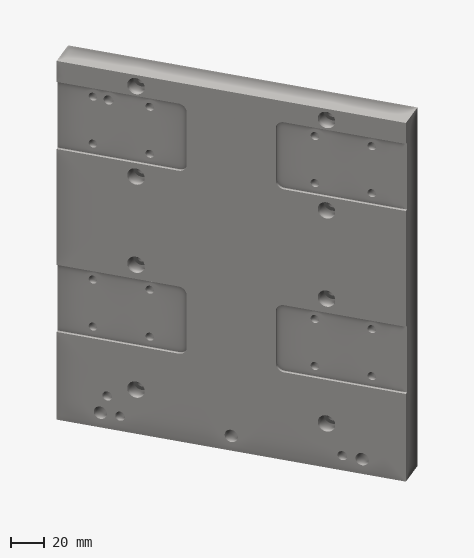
import cadquery as cq

width = 220.0
thickness = 20.0
height = 244.0

pocket_depth = 2.0
pocket_height = 45.6
pocket_inner_x = 28.0
pocket_corner_radius = 5.1
pocket_center_heights = [82.5, 207.0]

pocket_hole_diameter = 5.4
pocket_hole_inner_x = 52.0
pocket_hole_outer_x = 87.8
pocket_hole_spacing_z = 32.0

mount_hole_diameter = 6.3
counterbore_diameter = 11.0
counterbore_depth = thickness / 2
mount_x = 60.0
mount_heights = [30.0, 115.0, 175.0, 236.5]

bottom_row_z = 10.0
large_hole_diameter = 8.3
large_hole_x = 82.5
small_hole_diameter = 6.0
small_hole_x = 70.0

left_pair_x = -78.0
left_pair_heights = [22.2, 222.5]


def bore(points, diameter, depth):
    """Cylinders that run from the front face into the plate at each (x, z) point."""
    front = cq.Workplane("XZ")
    return front.pushPoints(points).circle(diameter / 2).extrude(-depth)


def pocket(side, center_z):
    """Pocket volume on the right (side = 1) or left (side = -1) edge, with rounded inner corners."""
    length = width / 2 - pocket_inner_x
    center_x = side * (pocket_inner_x + length / 2)
    inner_edges = "|Y and <X" if side > 0 else "|Y and >X"
    block = cq.Workplane("XZ").center(center_x, center_z).rect(length, pocket_height).extrude(-pocket_depth)
    return block.edges(inner_edges).fillet(pocket_corner_radius)


def mirrored(x_values, z_values):
    """Points at every combination of x and z, on both halves of the plate."""
    return [(side * x, z) for side in (-1, 1) for x in x_values for z in z_values]


result = cq.Workplane("XY").box(width, thickness, height, centered=(True, False, False))

for center_z in pocket_center_heights:
    for side in (-1, 1):
        result = result.cut(pocket(side, center_z))
    hole_heights = [center_z - pocket_hole_spacing_z / 2, center_z + pocket_hole_spacing_z / 2]
    pocket_holes = mirrored([pocket_hole_inner_x, pocket_hole_outer_x], hole_heights)
    result = result.cut(bore(pocket_holes, pocket_hole_diameter, thickness))

mount_points = mirrored([mount_x], mount_heights)
result = result.cut(bore(mount_points, mount_hole_diameter, thickness))
result = result.cut(bore(mount_points, counterbore_diameter, counterbore_depth))

large_points = mirrored([large_hole_x], [bottom_row_z]) + [(0, bottom_row_z)]
result = result.cut(bore(large_points, large_hole_diameter, thickness))

left_pair_points = [(left_pair_x, z) for z in left_pair_heights]
small_points = mirrored([small_hole_x], [bottom_row_z]) + left_pair_points
result = result.cut(bore(small_points, small_hole_diameter, thickness))